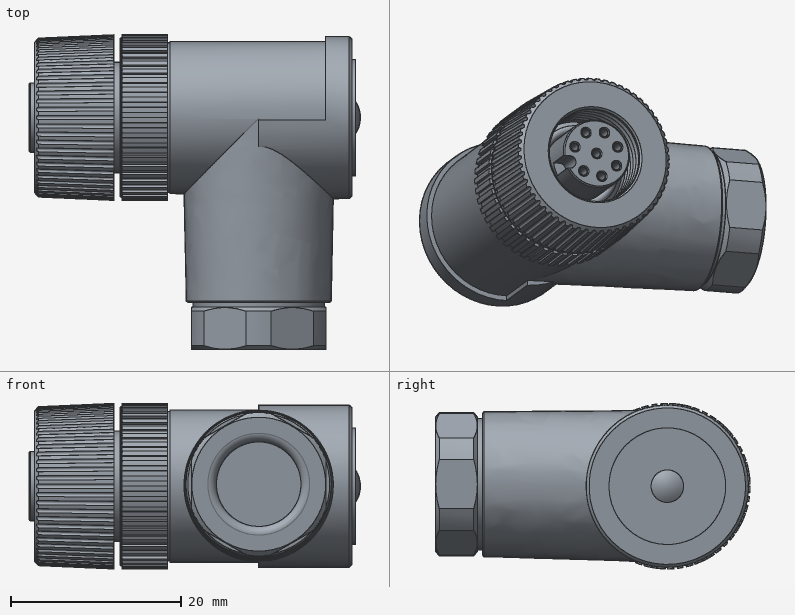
import cadquery as cq
import math


insert_radius = 4.1
insert_edge_chamfer = 0.15
contact_circle_radius = 2.75
ring_contact_count = 7
contact_mouth_diameter = 1.3
contact_neck_diameter = 1.0
contact_bore_diameter = 0.9
contact_lead_in = 0.1
contact_bore_end = 2.35
contact_tip_end = 2.73
key_angle = -21.0
key_gap_angle = 66.8
key_radius = 0.75
key_centre_radius = 3.55
key_depth = 3.9

nut_front = 0.62
nut_rear = 9.98
nut_face_radius = 8.8
nut_front_radius = 9.35
nut_rear_radius = 9.75
nut_chamfer_length = 0.5
nut_groove_count = 60
nut_groove_radius = 0.255
bore_mouth_radius = 5.8
bore_diameter = 11.2
bore_floor = 7.0
thread_pitch = 1.0
thread_depth = 0.35
thread_first = 1.25
thread_last = 5.45
seal_half_width = 0.45
seal_height = 0.3

neck_diameter = 13.0
ring_front = 10.7
ring_teeth_front = 10.95
ring_rear = 16.3
ring_root_radius = 9.4
ring_chamfer = 0.15
ring_radius = 9.75
ring_tooth_count = 50

relief_rear = 16.55
relief_radius = 8.8
body_radius = 8.95
branch_x = 27.0
branch_end_y = -21.75
branch_end_radius = 8.55
branch_end_z = 0.25
branch_end_chamfer = 0.2

cap_disc_front = 34.85
cap_rear = 38.0
cap_radius = 9.55
cap_chamfer = 0.35
cap_split_y = -0.3
cap_plate_diameter = 13.72
cap_plate_rear = 38.4
screw_head_radius = 1.9
overall_length = 38.98

gland_neck_diameter = 15.5
gland_front_y = -22.3
gland_end_y = -27.3
gland_flat_count = 6
gland_flat_width = 15.85
gland_corner_diameter = 16.88
gland_face_diameter = 15.75
gland_chamfer_length = 0.45
cable_hole_diameter = 9.95
cable_hole_rounding = 1.0


def turned(points):
    """Solid of revolution about X from (x, radius) points, closed along the axis."""
    outline = [(points[0][0], 0), *points]
    if points[-1][1] > 0:
        outline.append((points[-1][0], 0))
    return cq.Workplane("XY").polyline(outline).close().revolve(360, (0, 0, 0), (1, 0, 0))


def rod(start, end, radius):
    """Plain cylinder on the plug axis."""
    return turned([(start, radius), (end, radius)])


def around_plug(tool, count):
    """Copies of a tool evenly spaced about the plug axis."""
    shape = tool.val()
    step = 360 / count
    copies = [shape.rotate(cq.Vector(0, 0, 0), cq.Vector(1, 0, 0), i * step) for i in range(count)]
    return cq.Workplane(cq.Compound.makeCompound(copies))


def branch_plane(y):
    """Plane across the branch axis, looking out along -Y."""
    return cq.Workplane("XZ", origin=(branch_x, y, branch_end_z))


def nut_bore():
    """Threaded cavity of the nut with a conical floor and a seal ring round the insert."""
    bore_radius = bore_diameter / 2
    seal_centre_radius = insert_radius + seal_half_width
    seal_outer_radius = seal_centre_radius + seal_half_width
    floor_edge = bore_floor + bore_radius - seal_outer_radius
    bore = (
        cq.Workplane("XY")
        .moveTo(nut_front, insert_radius)
        .lineTo(nut_front, bore_mouth_radius)
        .lineTo(nut_front + bore_mouth_radius - bore_radius, bore_radius)
        .lineTo(floor_edge, bore_radius)
        .lineTo(bore_floor, seal_outer_radius)
        .threePointArc((bore_floor - seal_height, seal_centre_radius), (bore_floor, insert_radius))
        .close()
        .revolve(360, (0, 0, 0), (1, 0, 0))
    )
    thread_turns = int((thread_last - thread_first) / thread_pitch) + 1
    for turn in range(thread_turns):
        x = thread_first + turn * thread_pitch
        groove = (
            cq.Workplane("XY")
            .moveTo(x, insert_radius)
            .lineTo(x, bore_radius)
            .lineTo(x + thread_pitch / 2, bore_radius + thread_depth)
            .lineTo(x + thread_pitch, bore_radius)
            .lineTo(x + thread_pitch, insert_radius)
            .close()
            .revolve(360, (0, 0, 0), (1, 0, 0))
        )
        bore = bore.union(groove)
    return bore


def coupling_nut():
    """Slightly conical nut with round-bottomed grip grooves and a threaded bore."""
    cone_front = nut_front + nut_chamfer_length
    nut = turned([
        (nut_front, nut_face_radius),
        (cone_front, nut_front_radius),
        (nut_rear, nut_rear_radius),
    ])
    slope = (nut_rear_radius - nut_front_radius) / (nut_rear - cone_front)
    cutter_plane = cq.Plane(
        origin=(nut_front, 0, nut_front_radius - slope * nut_chamfer_length),
        xDir=(0, 1, 0),
        normal=(1, 0, slope),
    )
    cutter_length = nut_rear - nut_front + nut_groove_radius
    cutter = cq.Workplane(cutter_plane).circle(nut_groove_radius).extrude(cutter_length)
    insert_seat = rod(nut_front, nut_rear, insert_radius)
    return nut.cut(around_plug(cutter, nut_groove_count)).cut(nut_bore()).cut(insert_seat)


def contact_hole(y, z):
    """Contact hole with a countersunk mouth, a small step and a conical bottom."""
    neck = contact_neck_diameter / 2
    bore = contact_bore_diameter / 2
    hole = turned([
        (0, contact_mouth_diameter / 2),
        (contact_lead_in, neck),
        (contact_lead_in, bore),
        (contact_bore_end, bore),
        (contact_tip_end, 0),
    ])
    return hole.translate((0, y, z))


def contact_insert():
    """Cylindrical insert with one central contact, a ring of contacts and a key slot."""
    insert = turned([
        (0, insert_radius - insert_edge_chamfer),
        (insert_edge_chamfer, insert_radius),
        (nut_rear, insert_radius),
    ])
    insert = insert.cut(contact_hole(0, 0))
    spacing = (360 - key_gap_angle) / (ring_contact_count - 1)
    for i in range(ring_contact_count):
        angle = math.radians(key_angle + key_gap_angle / 2 + i * spacing)
        y = contact_circle_radius * math.cos(angle)
        z = contact_circle_radius * math.sin(angle)
        insert = insert.cut(contact_hole(y, z))
    return insert.cut(key_slot())


def key_slot():
    """Round-ended key slot that opens sideways, along Y, through the insert wall."""
    angle = math.radians(key_angle)
    y = key_centre_radius * math.cos(angle)
    z = key_centre_radius * math.sin(angle)
    opening_length = insert_radius - y
    round_end = cq.Workplane("YZ").center(y, z).circle(key_radius).extrude(key_depth)
    opening = (
        cq.Workplane("YZ")
        .center(y + opening_length / 2, z)
        .rect(opening_length, 2 * key_radius)
        .extrude(key_depth)
    )
    return round_end.union(opening)


def knurled_ring():
    """Ring with square teeth, teeth and gaps of equal width."""
    tooth_width = math.pi * ring_radius / ring_tooth_count
    tooth_length = ring_rear - ring_teeth_front
    tooth_depth = ring_radius - ring_root_radius
    gap = (
        cq.Workplane("XY")
        .box(tooth_length, tooth_width, 2 * tooth_depth, centered=(False, True, False))
        .translate((ring_teeth_front, tooth_width / 2, ring_root_radius))
    )
    teeth = rod(ring_teeth_front, ring_rear, ring_radius).cut(around_plug(gap, ring_tooth_count))
    collar = turned([
        (ring_front, ring_root_radius - ring_chamfer),
        (ring_front + ring_chamfer, ring_root_radius),
        (ring_teeth_front, ring_root_radius),
    ])
    return teeth.union(collar)


def branch():
    """Tapered branch, its end slightly above the plug axis."""
    tapered = (
        cq.Workplane("XZ", origin=(branch_x, 0, 0))
        .circle(body_radius)
        .workplane(offset=-branch_end_y)
        .center(0, branch_end_z)
        .circle(branch_end_radius)
        .loft(ruled=True)
    )
    return tapered.faces("<Y").chamfer(branch_end_chamfer)


def end_cap():
    """Cap disc with a half shell over the branch side, a plate and a domed screw head."""
    shell = turned([
        (branch_x, cap_radius),
        (cap_rear - cap_chamfer, cap_radius),
        (cap_rear, cap_radius - cap_chamfer),
    ])
    cutaway = (
        cq.Workplane("XY")
        .box(cap_disc_front - branch_x, 2 * cap_radius, 2 * cap_radius, centered=(False, False, True))
        .translate((branch_x, cap_split_y, 0))
    )
    dome_height = overall_length - cap_plate_rear
    dome_radius = (screw_head_radius**2 + dome_height**2) / (2 * dome_height)
    arc_angle = math.asin(screw_head_radius / dome_radius) / 2
    arc_middle = (
        overall_length - dome_radius + dome_radius * math.cos(arc_angle),
        dome_radius * math.sin(arc_angle),
    )
    dome = (
        cq.Workplane("XY")
        .moveTo(cap_rear, 0)
        .lineTo(cap_rear, screw_head_radius)
        .lineTo(cap_plate_rear, screw_head_radius)
        .threePointArc(arc_middle, (overall_length, 0))
        .close()
        .revolve(360, (0, 0, 0), (1, 0, 0))
    )
    plate = rod(cap_rear, cap_plate_rear, cap_plate_diameter / 2)
    return shell.cut(cutaway).union(plate).union(dome)


def cable_gland():
    """Hexagonal gland nut with turned corners, joined to the branch by a round neck."""
    length = gland_front_y - gland_end_y
    hexagon = (
        branch_plane(gland_front_y)
        .polygon(gland_flat_count, gland_flat_width, circumscribed=True)
        .extrude(length)
    )
    chamfer_width = (gland_corner_diameter - gland_face_diameter) / 2
    corners = (
        branch_plane(gland_front_y)
        .circle(gland_corner_diameter / 2)
        .extrude(length)
        .faces("<Y or >Y")
        .chamfer(gland_chamfer_length, chamfer_width)
    )
    neck = branch_plane(branch_end_y).circle(gland_neck_diameter / 2).extrude(branch_end_y - gland_front_y)
    hole = branch_plane(branch_end_y).circle(cable_hole_diameter / 2).extrude(branch_end_y - gland_end_y)
    gland = hexagon.intersect(corners).union(neck).cut(hole)
    return gland.edges(cq.selectors.RadiusNthSelector(0)).edges("<Y").fillet(cable_hole_rounding)


result = (
    rod(relief_rear, cap_rear - cap_chamfer, body_radius)
    .union(branch())
    .union(end_cap())
    .union(cable_gland())
    .union(rod(ring_rear, relief_rear, relief_radius))
    .union(knurled_ring())
    .union(rod(nut_rear, ring_front, neck_diameter / 2))
    .union(coupling_nut())
    .union(contact_insert())
)